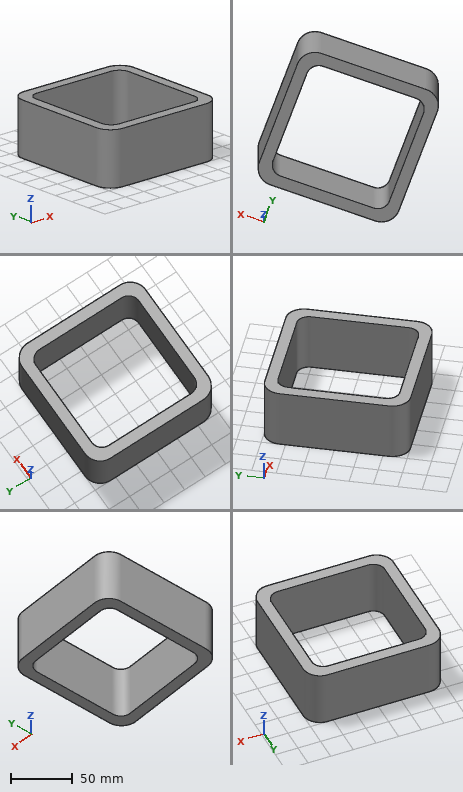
import cadquery as cq

outer_side = 120.0
height = 50.0
wall_thickness = 10.0
outer_corner_radius = 15.0
inner_corner_radius = 10.0

inner_side = outer_side - 2 * wall_thickness


def rounded_square_prism(side, corner_radius):
    """Square prism standing on the XY plane with rounded vertical edges."""
    prism = cq.Workplane("XY").rect(side, side).extrude(height)
    return prism.edges("|Z").fillet(corner_radius)


outer_body = rounded_square_prism(outer_side, outer_corner_radius)
opening = rounded_square_prism(inner_side, inner_corner_radius)

result = outer_body.cut(opening)